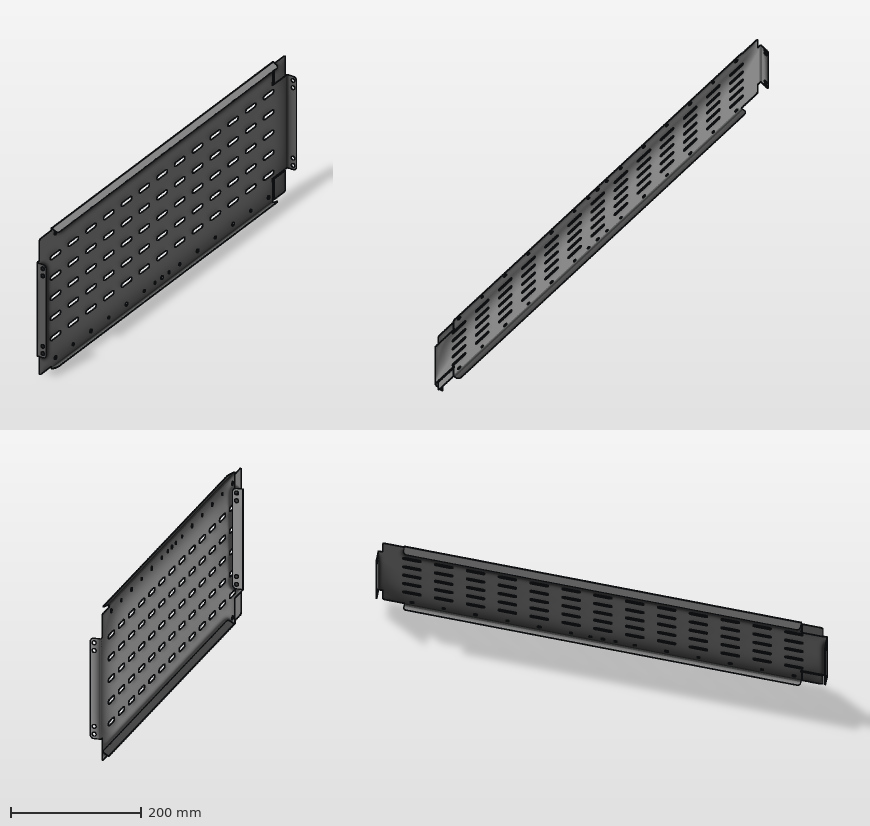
import cadquery as cq
import math

LENGTH = 705.5
HEIGHT = 249.0
DEPTH = 17.5
SHEET = 1.05
BEND_RADIUS = 0.35
OUTSIDE_RADIUS = BEND_RADIUS + SHEET

FLANGE_HEIGHT = 164.5
FLANGE_TOP = FLANGE_HEIGHT / 2
FLANGE_TURN = 90.0
FLANGE_CORNER = 5.5
FLANGE_HOLE = 6.0
FLANGE_HOLE_X = 11.0
FLANGE_HOLE_Z = (62.0, 75.0)

HOOK_LENGTH = 623.0
HOOK_END = HOOK_LENGTH / 2
HOOK_DEPTH = 12.0
HOOK_TURN = 120.0
LIP_CORNER = 5.5

TAB_END = 691.5 / 2
TAB_TOP = 240.0 / 2
TAB_CORNER = 4.0
TAB_SLIT = 1.5
STEP_LENGTH = 2.0
RELIEF_WIDTH = 3.0
RELIEF_HEIGHT = 5.5

COLUMNS = 13
ROWS = 5
COLUMN_SPAN = 600.0
ROW_SPAN = 142.5
SLOT_LENGTH = 29.0
SLOT_WIDTH = 7.0

HOLE_ROW_Z = 110.0
LARGE_HOLE = 6.0
SMALL_HOLE = 5.0
EXTRA_HOLE_Y = 20.0


def box(x_range, y_range, z_range):
    """Box between the given limits along each axis."""
    (x0, x1), (y0, y1), (z0, z1) = x_range, y_range, z_range
    return cq.Workplane("XY", origin=(x0, y0, z0)).box(x1 - x0, y1 - y0, z1 - z0, centered=False)


def spread(count, span):
    """Evenly spaced positions centred on zero."""
    return [span * (i / (count - 1) - 0.5) for i in range(count)]


def folded_profile(plane, edge, turn_degrees, reach):
    """Closed sheet section: a bend that leaves the body and touches `edge`, then a leg out to X = reach."""
    bend_start = edge - OUTSIDE_RADIUS
    end = math.radians(180 - turn_degrees)
    middle = math.radians(180 - turn_degrees / 2)

    def on_bend(radius, angle):
        return (OUTSIDE_RADIUS + radius * math.cos(angle), bend_start + radius * math.sin(angle))

    leg_start = on_bend(OUTSIDE_RADIUS, end)
    leg_end = (reach, leg_start[1] - (reach - leg_start[0]) / math.tan(end))
    inner_leg_end = (leg_end[0] - SHEET * math.cos(end), leg_end[1] - SHEET * math.sin(end))
    return (
        cq.Workplane(plane)
        .moveTo(0, bend_start)
        .threePointArc(on_bend(OUTSIDE_RADIUS, middle), leg_start)
        .lineTo(*leg_end)
        .lineTo(*inner_leg_end)
        .lineTo(*on_bend(BEND_RADIUS, end))
        .threePointArc(on_bend(BEND_RADIUS, middle), (SHEET, bend_start))
        .close()
    )


def make_body():
    """Flat sheet between the bends: the hooked panel and the strip that carries the end flanges."""
    panel_top = HEIGHT / 2 - OUTSIDE_RADIUS
    strip_end = LENGTH / 2 - OUTSIDE_RADIUS
    panel = box((0, SHEET), (-HOOK_END, HOOK_END), (-panel_top, panel_top))
    strip = box((0, SHEET), (-strip_end, strip_end), (-FLANGE_TOP, FLANGE_TOP))
    return panel.union(strip)


def make_end_flange():
    """Flange at the +Y end, with rounded free corners and two pairs of holes."""
    flange = folded_profile("XY", LENGTH / 2, FLANGE_TURN, DEPTH).extrude(FLANGE_TOP, both=True)
    flange = flange.edges("|Y and >X").fillet(FLANGE_CORNER)
    centres = [(FLANGE_HOLE_X, side * z) for z in FLANGE_HOLE_Z for side in (1, -1)]
    drills = (
        cq.Workplane("XZ", origin=(0, LENGTH / 2, 0))
        .pushPoints(centres)
        .circle(FLANGE_HOLE / 2)
        .extrude(2 * SHEET, both=True)
    )
    return flange.cut(drills)


def make_hook():
    """Hooked top edge: a bend past the square, then a lip sloping inward with rounded corners."""
    hook = folded_profile("XZ", HEIGHT / 2, HOOK_TURN, HOOK_DEPTH).extrude(HOOK_END, both=True)
    return hook.faces(">X").edges("not |Y").fillet(LIP_CORNER)


def make_flat_tab():
    """Upper tab at the -Y end, in the plane of the body."""
    tab = box((0, SHEET), (-TAB_END, -HOOK_END), (FLANGE_TOP, TAB_TOP))
    return tab.edges("|X and <Y and >Z").fillet(TAB_CORNER)


def make_offset_tab():
    """Upper tab at the +Y end, stepped one sheet thickness behind the body."""
    tab_bottom = FLANGE_TOP + TAB_SLIT
    step_end = HOOK_END + STEP_LENGTH
    outline = [
        (0, HOOK_END),
        (SHEET, step_end),
        (SHEET, TAB_END),
        (2 * SHEET, TAB_END),
        (2 * SHEET, step_end),
        (SHEET, HOOK_END),
    ]
    section = cq.Workplane("XY", origin=(0, 0, tab_bottom)).polyline(outline).close()
    tab = section.extrude(TAB_TOP - tab_bottom)
    return tab.edges("|X and >Y and >Z").fillet(TAB_CORNER)


def make_relief():
    """Notch at the root of the slit under the upper offset tab, deep enough to clear the offset."""
    relief_end = HOOK_END + STEP_LENGTH
    return box(
        (-SHEET, 3 * SHEET),
        (relief_end - RELIEF_WIDTH, relief_end),
        (FLANGE_TOP, FLANGE_TOP + RELIEF_HEIGHT),
    )


def make_perforation():
    """Cutters for the slot grid and the two rows of alternating large and small holes."""
    columns = spread(COLUMNS, COLUMN_SPAN)
    rows = spread(ROWS, ROW_SPAN)
    start = cq.Workplane("YZ", origin=(-SHEET, 0, 0))
    depth = 3 * SHEET
    slot_centres = [(y, z) for y in columns for z in rows]
    cutters = start.pushPoints(slot_centres).slot2D(SLOT_LENGTH, SLOT_WIDTH).extrude(depth)
    small_hole_y = columns[1::2] + [-EXTRA_HOLE_Y, EXTRA_HOLE_Y]
    for hole_y, diameter in ((columns[0::2], LARGE_HOLE), (small_hole_y, SMALL_HOLE)):
        centres = [(y, side * HOLE_ROW_Z) for y in hole_y for side in (1, -1)]
        cutters = cutters.add(start.pushPoints(centres).circle(diameter / 2).extrude(depth))
    return cutters.combine()


def with_lower_copy(upper):
    """The given upper feature together with its mirror image below the middle."""
    return upper.union(upper.mirror("XY"))


result = make_body()
end_flange = make_end_flange()
result = result.union(end_flange).union(end_flange.mirror("XZ"))
for upper_feature in (make_hook(), make_flat_tab(), make_offset_tab()):
    result = result.union(with_lower_copy(upper_feature))
result = result.cut(with_lower_copy(make_relief()))
result = result.cut(make_perforation())